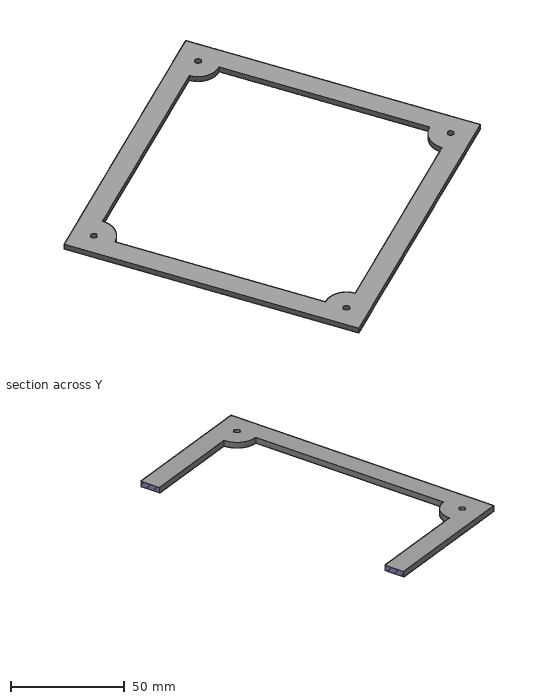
import cadquery as cq

side = 140.0
thickness = 3.0
opening = 120.0
border = (side - opening) / 2

pad_radius = border
hole_diameter = 3.0


def corner_cylinders(radius):
    """Four upright cylinders, one on each corner of the opening."""
    corners = cq.Workplane("XY").rect(opening, opening, forConstruction=True).vertices()
    return corners.circle(radius).extrude(thickness)


plate = cq.Workplane("XY").rect(side, side).extrude(thickness)

window = cq.Workplane("XY").rect(opening, opening).extrude(thickness)
window = window.cut(corner_cylinders(pad_radius))

result = plate.cut(window).cut(corner_cylinders(hole_diameter / 2))